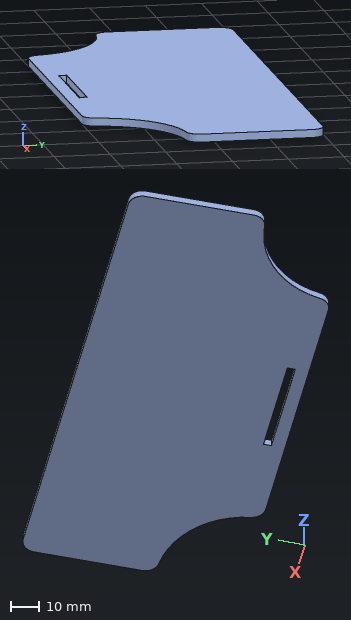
import cadquery as cq

length = 173.5
width = 80.0
thickness = 3.0
corner_radius = 5.0

cutout_radius = 31.5
cutout_end_inset = 2.0
cutout_front_offset = 0.7

slot_length = 37.1
slot_width = 2.8
slot_front_gap = 5.0

front_y = -width / 2


def corner_cutouts():
    """Two mirrored cylinders that scoop out the front corners."""
    center_x = length / 2 - cutout_end_inset
    center_y = front_y - cutout_front_offset
    return (
        cq.Workplane("XY")
        .pushPoints([(-center_x, center_y), (center_x, center_y)])
        .circle(cutout_radius)
        .extrude(thickness)
    )


def front_slot():
    """Rectangular slot parallel to the front edge."""
    center_y = front_y + slot_front_gap + slot_width / 2
    return cq.Workplane("XY").center(0, center_y).rect(slot_length, slot_width).extrude(thickness)


plate = cq.Workplane("XY").rect(length, width).extrude(thickness)
plate = plate.cut(corner_cutouts())
plate = plate.edges("|Z").fillet(corner_radius)

result = plate.cut(front_slot())